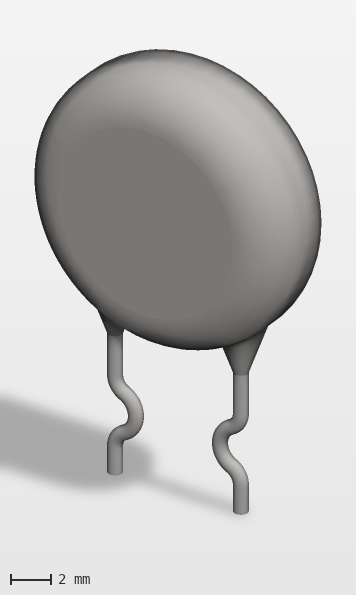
import cadquery as cq
import math

total_height = 24.3
body_diameter = 15.5
body_thickness = 6.0
rim_band_width = 1.0
rim_fillet = (body_thickness - rim_band_width) / 2
body_center_z = total_height - body_diameter / 2

lead_diameter = 0.8
lead_radius = lead_diameter / 2
lead_spacing = 7.5
lead_tip_length = 1.5

kink_height = 4.0
small_bend_radius = 1.0
wide_bend_radius = 1.25
kink_center_z = lead_tip_length + kink_height / 2
kink_top_z = lead_tip_length + kink_height
bend_angle = math.asin(kink_height / 2 / (small_bend_radius + wide_bend_radius))

cone_bottom_z = 7.9
cone_top_z = 11.42
cone_top_radius = 1.68


def make_body():
    """Disc with its axis along Y and fully rounded rims beside a narrow flat band."""
    disc = cq.Workplane("XZ").circle(body_diameter / 2).extrude(body_thickness / 2, both=True)
    return disc.edges().fillet(rim_fillet).translate((0, 0, body_center_z))


def small_bend_offset(angle):
    """Return the inward shift and rise after turning through an angle of a small bend."""
    shift = small_bend_radius * (1 - math.cos(angle))
    rise = small_bend_radius * math.sin(angle)
    return shift, rise


def make_lead():
    """Left lead, swept along its kinked centerline; inward is +X."""
    lead_x = -lead_spacing / 2
    mid_shift, mid_rise = small_bend_offset(bend_angle / 2)
    end_shift, end_rise = small_bend_offset(bend_angle)
    kink_depth = (small_bend_radius + wide_bend_radius) * (1 - math.cos(bend_angle))
    path = (
        cq.Workplane("XZ")
        .moveTo(lead_x, 0)
        .lineTo(lead_x, lead_tip_length)
        .threePointArc(
            (lead_x + mid_shift, lead_tip_length + mid_rise),
            (lead_x + end_shift, lead_tip_length + end_rise),
        )
        .threePointArc(
            (lead_x + kink_depth, kink_center_z),
            (lead_x + end_shift, kink_top_z - end_rise),
        )
        .threePointArc(
            (lead_x + mid_shift, kink_top_z - mid_rise),
            (lead_x, kink_top_z),
        )
        .lineTo(lead_x, cone_bottom_z)
    )
    return cq.Workplane("XY").center(lead_x, 0).circle(lead_radius).sweep(path)


def make_cone():
    """Left coating cone, widening upward until it is buried in the body."""
    cone = cq.Solid.makeCone(lead_radius, cone_top_radius, cone_top_z - cone_bottom_z)
    return cq.Workplane(cone).translate((-lead_spacing / 2, 0, cone_bottom_z))


left_terminal = make_lead().union(make_cone())
right_terminal = left_terminal.mirror("YZ")
result = make_body().union(left_terminal).union(right_terminal)